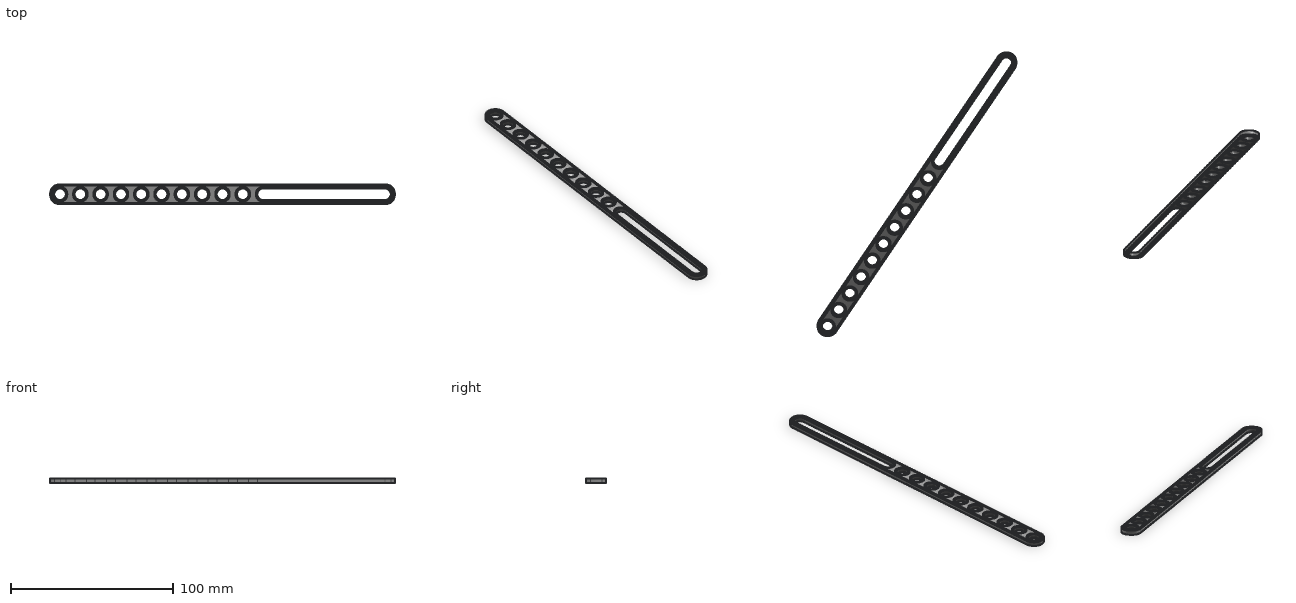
import cadquery as cq

pitch = 12.5
length_in_pitches = 17
hole_count = 10
opening_width = 7.0
rim_width = 1.1
pocket_depth = 0.2
edge_chamfer = 0.3

width = pitch
thickness = pitch / 4
length = pitch * length_in_pitches
collar_width = opening_width + 2 * rim_width
last_center_x = (length - width) / 2
first_center_x = -last_center_x
hole_centers = [(first_center_x + index * pitch, 0) for index in range(hole_count)]
slot_start_x = first_center_x + hole_count * pitch
slot_center_x = (slot_start_x + last_center_x) / 2
slot_center_distance = last_center_x - slot_start_x


def make_outline(inset, depth, bottom_z):
    """Full-round bar outline, moved inwards by inset, from bottom_z up by depth."""
    plane = cq.Workplane("XY").workplane(offset=bottom_z)
    return plane.slot2D(length - 2 * inset, width - 2 * inset).extrude(depth)


def make_openings(opening_size, depth, bottom_z):
    """Row of discs and a long slot shape, all of one width, from bottom_z up by depth."""
    plane = cq.Workplane("XY").workplane(offset=bottom_z)
    discs = plane.pushPoints(hole_centers).circle(opening_size / 2).extrude(depth)
    slot_length = slot_center_distance + opening_size
    slot = plane.center(slot_center_x, 0).slot2D(slot_length, opening_size).extrude(depth)
    return discs.union(slot)


def make_pocket(bottom_z):
    """Shallow pocket inside the rim that leaves a collar standing round each opening."""
    pocket = make_outline(rim_width, pocket_depth, bottom_z)
    collars = make_openings(collar_width, pocket_depth, bottom_z)
    return pocket.cut(collars)


def make_bar():
    """Pierced bar whose outer and opening edges are all bevelled on both faces."""
    bar = make_outline(0, thickness, -thickness / 2)
    bar = bar.cut(make_openings(opening_width, thickness, -thickness / 2))
    return bar.faces("|Z").edges().chamfer(edge_chamfer)


result = make_bar()
for pocket_bottom in (-thickness / 2, thickness / 2 - pocket_depth):
    result = result.cut(make_pocket(pocket_bottom))